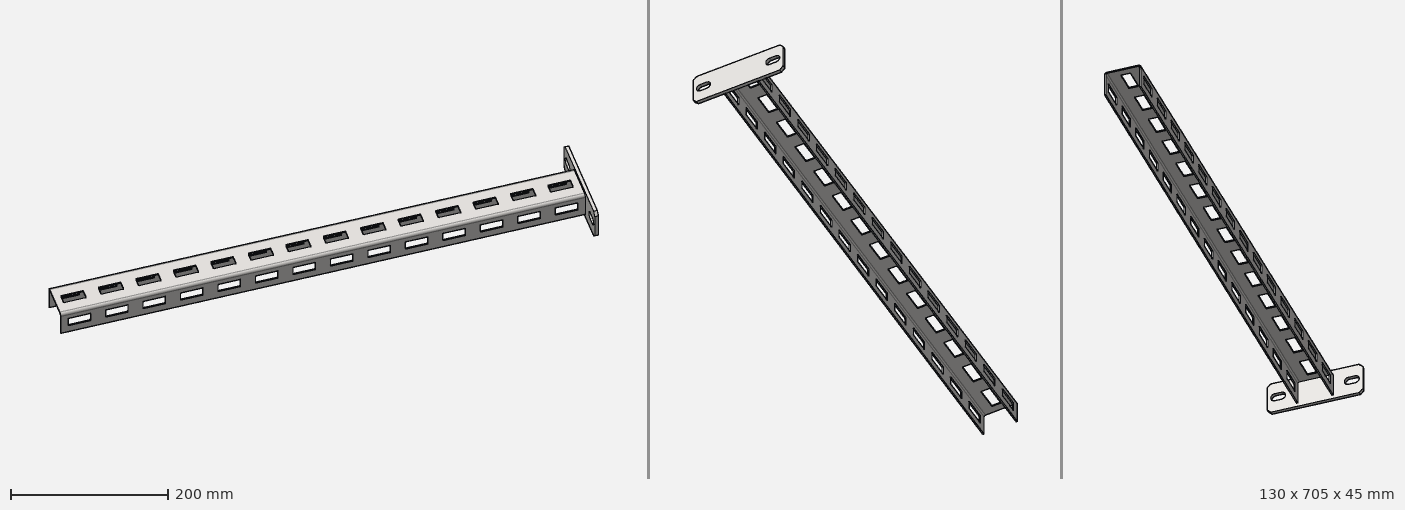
import cadquery as cq

PLATE_WIDTH = 130.0
PLATE_HEIGHT = 45.0
PLATE_THICKNESS = 5.0
PLATE_CORNER_CHAMFER = 5.0

BOLT_SLOT_SPACING = 100.0
BOLT_SLOT_LENGTH = 20.0
BOLT_SLOT_WIDTH = 11.0

CHANNEL_WIDTH = 50.0
CHANNEL_HEIGHT = 35.0
CHANNEL_LENGTH = 700.0
SHEET_THICKNESS = 2.0
BEND_INNER_RADIUS = 2.0
BEND_OUTER_RADIUS = BEND_INNER_RADIUS + SHEET_THICKNESS

SLOT_COUNT = 14
SLOT_PITCH = CHANNEL_LENGTH / SLOT_COUNT
SLOT_LENGTH = 30.0
SLOT_WIDTH = 13.0
SLOT_CORNER_RADIUS = 1.0

CHANNEL_START_Y = -PLATE_THICKNESS
CHANNEL_TOP_Z = CHANNEL_HEIGHT / 2
CHANNEL_BOTTOM_Z = -CHANNEL_HEIGHT / 2


def make_plate():
    """Rectangular plate with chamfered corners and two horizontal bolt slots."""
    blank = (
        cq.Workplane("XZ")
        .rect(PLATE_WIDTH, PLATE_HEIGHT)
        .extrude(PLATE_THICKNESS)
        .edges("|Y")
        .chamfer(PLATE_CORNER_CHAMFER)
    )
    bolt_slots = (
        cq.Workplane("XZ")
        .rarray(BOLT_SLOT_SPACING, 1, 2, 1)
        .slot2D(BOLT_SLOT_LENGTH, BOLT_SLOT_WIDTH)
        .extrude(PLATE_THICKNESS)
    )
    return blank.cut(bolt_slots)


def channel_block(width, top_z, bend_radius):
    """Full-length block with its two upper long edges rounded."""
    return (
        cq.Workplane("XZ", origin=(0, CHANNEL_START_Y, 0))
        .center(0, (top_z + CHANNEL_BOTTOM_Z) / 2)
        .rect(width, top_z - CHANNEL_BOTTOM_Z)
        .extrude(CHANNEL_LENGTH)
        .edges("|Y and >Z")
        .fillet(bend_radius)
    )


def make_slot_cutters():
    """Rounded blocks at every slot position, through the web and across both flanges."""
    slot_centres = []
    for index in range(SLOT_COUNT):
        slot_centres.append(CHANNEL_START_Y - SLOT_PITCH * (index + 0.5))

    web_cutters = (
        cq.Workplane("XY")
        .pushPoints([(0, y) for y in slot_centres])
        .rect(SLOT_WIDTH, SLOT_LENGTH)
        .extrude(CHANNEL_TOP_Z)
        .edges("|Z")
        .fillet(SLOT_CORNER_RADIUS)
    )
    flange_cutters = (
        cq.Workplane("YZ")
        .pushPoints([(y, 0) for y in slot_centres])
        .rect(SLOT_LENGTH, SLOT_WIDTH)
        .extrude(CHANNEL_WIDTH / 2, both=True)
        .edges("|X")
        .fillet(SLOT_CORNER_RADIUS)
    )
    return web_cutters, flange_cutters


def make_channel():
    """Bent U-channel with slots along its web and flanges."""
    outside = channel_block(CHANNEL_WIDTH, CHANNEL_TOP_Z, BEND_OUTER_RADIUS)
    inside = channel_block(
        CHANNEL_WIDTH - 2 * SHEET_THICKNESS,
        CHANNEL_TOP_Z - SHEET_THICKNESS,
        BEND_INNER_RADIUS,
    )
    folded = outside.cut(inside)
    for cutters in make_slot_cutters():
        folded = folded.cut(cutters)
    return folded


plate = make_plate()
channel = make_channel()

result = cq.Compound.makeCompound([plate.solids().val(), channel.solids().val()])